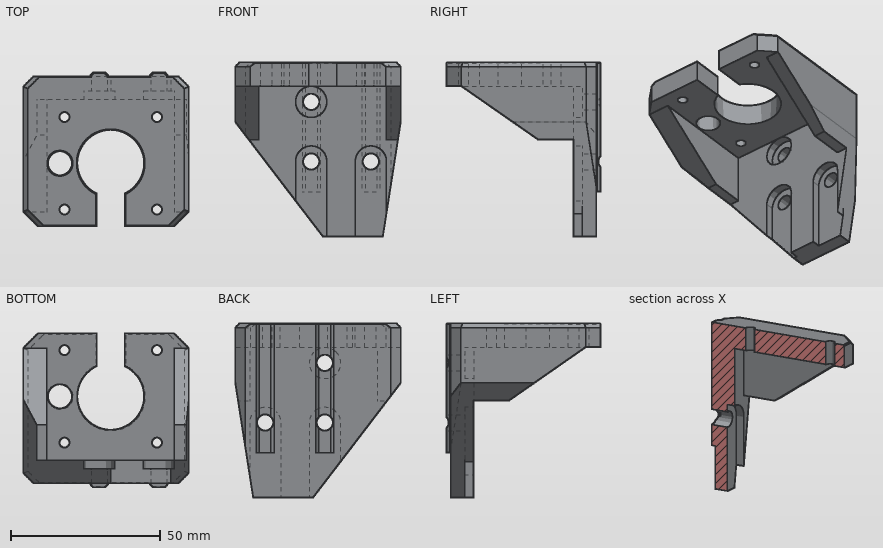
import cadquery as cq

height = 58.5
width = 55.5
total_depth = 51.7
rib_height = 1.4
depth = total_depth - rib_height
half_width = width / 2
plate_thickness = 8.1
plate_bottom = height - plate_thickness
wall_front = depth - 7.7
front_corner = 5.0
back_corner = 3.45
side_chamfer = 1.5
edge_break = 0.35

taper_start = 38.45
foot_left = 1.65
foot_right = 21.75
side_bottom = 32.5
side_toe = 30.7
left_inner = -19.85
right_inner = 22.9

motor_x = 1.6
motor_y = 21.2
motor_bore = 22.35
motor_slot = 9.35
screw_spacing = 31.0
screw_diameter = 3.3
access_x = -15.45
access_diameter = 8.0
bore_break = 0.3

mount_spacing = 20.0
mount_left = -2.3
mount_right = mount_left + mount_spacing
mount_low = 25.15
mount_high = mount_low + mount_spacing
mount_diameter = 5.4
recess_diameter = 10.5
recess_depth = 2.9
rib_base = 6.0
rib_tip = 3.9
rib_neck = 0.35
rib_root = 1.15
rib_bottom = 15.1


def make_body():
    """Intersect the side, plan and front outlines, then clear the space between the side walls."""
    side = (
        cq.Workplane("YZ")
        .moveTo(0, height)
        .lineTo(0, plate_bottom)
        .lineTo(front_corner, plate_bottom)
        .lineTo(side_toe, side_bottom)
        .lineTo(wall_front, side_bottom)
        .lineTo(wall_front, 0)
        .lineTo(depth, 0)
        .lineTo(depth, height)
        .close()
        .extrude(half_width, both=True)
    )
    plan = (
        cq.Workplane("XY")
        .moveTo(-half_width + front_corner, 0)
        .lineTo(half_width - front_corner, 0)
        .lineTo(half_width, front_corner)
        .lineTo(half_width, depth - back_corner)
        .lineTo(half_width - back_corner, depth)
        .lineTo(-half_width + back_corner, depth)
        .lineTo(-half_width, depth - back_corner)
        .lineTo(-half_width, front_corner)
        .close()
        .extrude(height)
    )
    front = (
        cq.Workplane("XZ")
        .moveTo(foot_left, 0)
        .lineTo(foot_right, 0)
        .lineTo(half_width, taper_start)
        .lineTo(half_width, height)
        .lineTo(-half_width, height)
        .lineTo(-half_width, taper_start)
        .close()
        .extrude(-depth)
    )
    clearance = cq.Workplane("XY").box(
        right_inner - left_inner, wall_front, plate_bottom, centered=False
    ).translate((left_inner, 0, 0))
    return side.intersect(plan).intersect(front).cut(clearance)


def cut_motor_slot(body):
    slot = cq.Workplane("XY").box(
        motor_slot, motor_y, height, centered=(True, False, False)
    ).translate((motor_x, 0, 0))
    return body.cut(slot)


def cut_plate_holes(body):
    motor_axis = cq.Workplane("XY", origin=(motor_x, motor_y, 0))
    corners = motor_axis.rect(screw_spacing, screw_spacing, forConstruction=True).vertices()
    return body.cut(corners.circle(screw_diameter / 2).extrude(height))


def vertical_bore(x, y, diameter):
    """Cutter for a bore through the plate with a small chamfer at its top."""
    radius = diameter / 2
    profile = (
        cq.Workplane("XZ", origin=(x, y, 0))
        .moveTo(0, side_bottom)
        .lineTo(radius, side_bottom)
        .lineTo(radius, height - bore_break)
        .lineTo(radius + bore_break, height)
        .lineTo(0, height)
        .close()
    )
    return profile.revolve(360, (0, 0, 0), (0, 1, 0))


def make_rib(x):
    """Locating rib on the back of the wall: a short straight neck, then tapered flanks."""
    return (
        cq.Workplane("XY", origin=(x, depth, rib_bottom))
        .moveTo(-rib_base / 2, -rib_root)
        .lineTo(rib_base / 2, -rib_root)
        .lineTo(rib_base / 2, rib_neck)
        .lineTo(rib_tip / 2, rib_height)
        .lineTo(-rib_tip / 2, rib_height)
        .lineTo(-rib_base / 2, rib_neck)
        .close()
        .extrude(height - rib_bottom)
        .faces(">Z").edges("not <Y").chamfer(edge_break)
    )


def cylinder_along_y(x, z, diameter, start, length):
    return cq.Workplane("XZ", origin=(x, start, z)).circle(diameter / 2).extrude(-length)


def open_recess(x):
    """Round-topped screw-head recess running down through the bottom of the wall."""
    channel = cq.Workplane("XY").box(
        recess_diameter, recess_depth, mount_low, centered=(True, False, False)
    ).translate((x, wall_front, 0))
    return channel.union(cylinder_along_y(x, mount_low, recess_diameter, wall_front, recess_depth))


body = make_body()

body = body.faces(">Z").edges("not |X").chamfer(side_chamfer)
body = cut_motor_slot(body)
body = body.faces(">Z").edges("|X or (|Y and (not <X) and (not >X))").chamfer(edge_break)
body = cut_plate_holes(body)
body = body.cut(vertical_bore(motor_x, motor_y, motor_bore))
body = body.cut(vertical_bore(access_x, motor_y, access_diameter))

for rib_x in (mount_left, mount_right):
    body = body.union(make_rib(rib_x))
    body = body.cut(open_recess(rib_x))
body = body.cut(cylinder_along_y(mount_left, mount_high, recess_diameter, wall_front, recess_depth))

for x, z in ((mount_left, mount_low), (mount_right, mount_low), (mount_left, mount_high)):
    body = body.cut(cylinder_along_y(x, z, mount_diameter, wall_front, total_depth - wall_front))

result = body